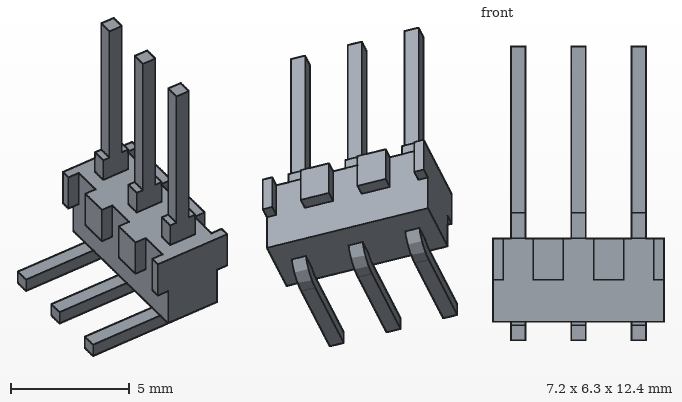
import cadquery as cq

pin_count = 3
pitch = 2.54
pin_size = 0.63
pin_top = 12.38
tail_tip_y = -4.54

shoulder_depth = 1.26
shoulder_top = 5.39

bend_inner_radius = 0.63
bend_outer_radius = bend_inner_radius + pin_size

body_length = 7.2
body_depth = 3.52
core_depth = 2.48
body_bottom = 0.78
rib_bottom = 2.56
body_top = 4.3
slot_width = 1.28

pin_positions = [((i - (pin_count - 1) / 2) * pitch, 0) for i in range(pin_count)]


def block(length, depth, bottom, top):
    """Box centred on the Z axis between two heights."""
    return (
        cq.Workplane("XY")
        .workplane(offset=bottom)
        .rect(length, depth)
        .extrude(top - bottom)
    )


def make_housing():
    """Core with a wider upper part, which is slotted beside every pin to leave ribs."""
    upper = block(body_length, body_depth, rib_bottom, body_top)
    slots = (
        cq.Workplane("XY")
        .workplane(offset=rib_bottom)
        .pushPoints(pin_positions)
        .rect(slot_width, body_depth)
        .extrude(body_top - rib_bottom)
    )
    core = block(body_length, core_depth, body_bottom, body_top)
    return upper.cut(slots).union(core)


def make_pin():
    """Square pin at X = 0, bent toward -Y below the housing."""
    half = pin_size / 2
    bend_y = half - bend_outer_radius
    diagonal = 0.5**0.5
    outer_mid = (bend_y + bend_outer_radius * diagonal, bend_outer_radius * (1 - diagonal))
    inner_mid = (
        bend_y + bend_inner_radius * diagonal,
        bend_outer_radius - bend_inner_radius * diagonal,
    )
    wire = (
        cq.Workplane("YZ")
        .moveTo(tail_tip_y, 0)
        .lineTo(bend_y, 0)
        .threePointArc(outer_mid, (half, bend_outer_radius))
        .lineTo(half, pin_top)
        .lineTo(-half, pin_top)
        .lineTo(-half, bend_outer_radius)
        .threePointArc(inner_mid, (bend_y, pin_size))
        .lineTo(tail_tip_y, pin_size)
        .close()
        .extrude(half, both=True)
    )
    return wire.union(block(pin_size, shoulder_depth, rib_bottom, shoulder_top))


result = make_housing()
for x, y in pin_positions:
    result = result.union(make_pin().translate((x, y, 0)))